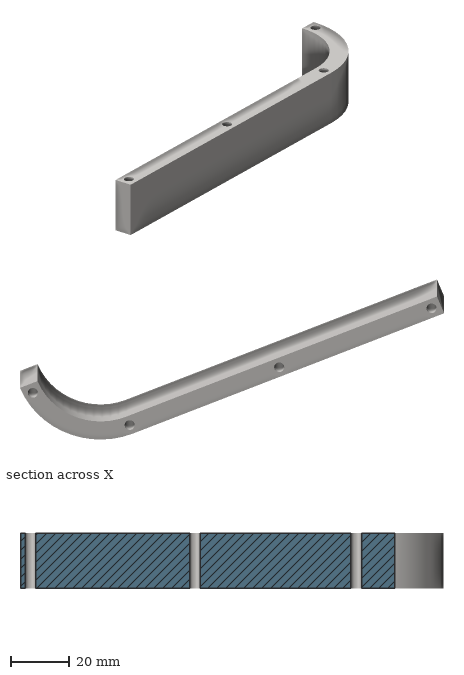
import cadquery as cq
import math

length = 145.5
height = 19.0
outer_radius = 30.0
thickness = 6.5
hole_diameter = 3.5
end_margin = 3.3
middle_hole_distance = 55.6

inner_radius = outer_radius - thickness
middle_radius = outer_radius - thickness / 2
leg_length = length - outer_radius


def hook_body():
    """Straight leg that bends through a quarter circle at its +Y end."""
    diagonal = math.sqrt(0.5)
    return (
        cq.Workplane("XY")
        .moveTo(inner_radius, -leg_length)
        .lineTo(outer_radius, -leg_length)
        .lineTo(outer_radius, 0)
        .threePointArc((outer_radius * diagonal, outer_radius * diagonal), (0, outer_radius))
        .lineTo(0, inner_radius)
        .threePointArc((inner_radius * diagonal, inner_radius * diagonal), (inner_radius, 0))
        .close()
        .extrude(height)
    )


def hole_centers():
    """Three holes along the leg and one at the tip of the bend."""
    last_hole_y = end_margin - leg_length
    leg_holes = [(middle_radius, y) for y in (0, -middle_hole_distance, last_hole_y)]
    tip_hole = (end_margin, math.sqrt(middle_radius**2 - end_margin**2))
    return leg_holes + [tip_hole]


holes = cq.Workplane("XY").pushPoints(hole_centers()).circle(hole_diameter / 2).extrude(height)
result = hook_body().cut(holes)